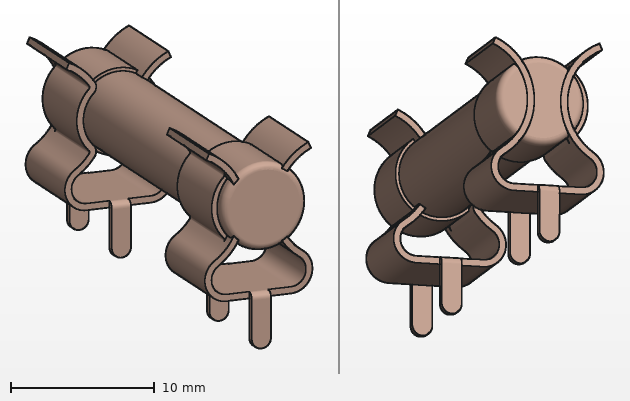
import cadquery as cq
import math

FUSE_LENGTH = 31.75
CAP_DIAMETER = 6.35
CAP_LENGTH = 5.85
CAP_FILLET = 0.5
TUBE_DIAMETER = 5.85

STRIP = 0.5
CLIP_LENGTH = 7.0
CLIP_HALF_WIDTH = 4.07
WAIST_HALF_GAP = 0.95
WAIST_RADIUS = 4.7
BEND_RADIUS = 1.65
LIP_TOP = 4.3
SEAT_RADIUS = 3.175
CREASE_RADIUS = 0.15
STOP_LENGTH = 0.9
CLIP_PITCH = 24.7
CLIP_SHIFT_X = -0.05
LEFT_CLIP_Y = -0.47
RIGHT_CLIP_Y = -0.41

LEG_WIDTH = 1.45
LEG_BOTTOM = -10.1

waist_center_y = WAIST_HALF_GAP + WAIST_RADIUS
waist_outer_radius = WAIST_RADIUS - STRIP
bend_center_y = CLIP_HALF_WIDTH - BEND_RADIUS
bend_inner_radius = BEND_RADIUS - STRIP
center_offset_y = waist_center_y - bend_center_y
bend_center_z = -math.sqrt((waist_outer_radius + BEND_RADIUS) ** 2 - center_offset_y**2)
base_bottom = bend_center_z - BEND_RADIUS
base_top = base_bottom + STRIP
tangent_angle = math.atan2(-bend_center_z, center_offset_y)
lip_angle = math.asin(LIP_TOP / WAIST_RADIUS)


def waist_point(radius, angle):
    """Point on a waist arc; the angle is measured upwards from the waist."""
    return (waist_center_y - radius * math.cos(angle), radius * math.sin(angle))


def bend_point(radius, angle):
    """Point on a base bend; the angle is measured upwards from its outermost point."""
    return (bend_center_y + radius * math.cos(angle), bend_center_z + radius * math.sin(angle))


def x_cylinder(radius, x_start, length, y=0.0):
    return cq.Workplane("YZ", origin=(x_start, y, 0)).circle(radius).extrude(length)


def make_fuse():
    cap_radius = CAP_DIAMETER / 2
    half = FUSE_LENGTH / 2
    left_cap = x_cylinder(cap_radius, -half, CAP_LENGTH).faces("<X").edges().fillet(CAP_FILLET)
    right_cap = left_cap.mirror("YZ")
    tube = x_cylinder(TUBE_DIAMETER / 2, -half + CAP_FILLET, FUSE_LENGTH - 2 * CAP_FILLET)
    return tube.union(left_cap).union(right_cap)


def make_strip_half(x_start, length):
    """Stretch of the clip strip on the +Y side: base, bend, waist and lip."""
    return (
        cq.Workplane("YZ", origin=(x_start, 0, 0))
        .moveTo(0, base_bottom)
        .lineTo(bend_center_y, base_bottom)
        .threePointArc(bend_point(BEND_RADIUS, 0), bend_point(BEND_RADIUS, tangent_angle))
        .threePointArc(waist_point(waist_outer_radius, 0), waist_point(waist_outer_radius, lip_angle))
        .lineTo(*waist_point(WAIST_RADIUS, lip_angle))
        .threePointArc(waist_point(WAIST_RADIUS, 0), waist_point(WAIST_RADIUS, -tangent_angle))
        .threePointArc(bend_point(bend_inner_radius, 0), (bend_center_y, base_top))
        .lineTo(0, base_top)
        .close()
        .extrude(length)
    )


def round_seat_corners(body, seat_radius, waist_radius, fillet_radius):
    """Round the two edges along X where a seat circle crosses a waist circle."""
    corner_y = (seat_radius**2 - waist_radius**2 + waist_center_y**2) / (2 * waist_center_y)
    corner_z = math.sqrt(seat_radius**2 - corner_y**2)
    middle_x = (STOP_LENGTH + CLIP_LENGTH) / 2
    for z in (corner_z, -corner_z):
        corner_edge = cq.selectors.NearestToPointSelector((middle_x, corner_y, z))
        body = body.edges("|X").edges(corner_edge).fillet(fillet_radius)
    return body


def make_seat_half():
    """Stretch of strip half whose waist bulges outwards around the fuse."""
    length = CLIP_LENGTH - STOP_LENGTH
    bore_radius = SEAT_RADIUS - STRIP
    bore = x_cylinder(bore_radius, STOP_LENGTH, length)
    waist_side = x_cylinder(WAIST_RADIUS, STOP_LENGTH, length, waist_center_y)
    seat = x_cylinder(SEAT_RADIUS, STOP_LENGTH, length).intersect(waist_side).cut(bore)
    body = make_strip_half(STOP_LENGTH, length).cut(bore).union(seat)
    body = round_seat_corners(body, SEAT_RADIUS, waist_outer_radius, CREASE_RADIUS)
    return round_seat_corners(body, bore_radius, WAIST_RADIUS, CREASE_RADIUS + STRIP)


def make_leg():
    """Leg bent down from the clip end at X = 0, with a rounded shoulder and tip."""
    tip_radius = LEG_WIDTH / 2
    tip_center_z = LEG_BOTTOM + tip_radius
    leg = (
        cq.Workplane("YZ")
        .moveTo(-tip_radius, base_top)
        .lineTo(-tip_radius, tip_center_z)
        .threePointArc((0, LEG_BOTTOM), (tip_radius, tip_center_z))
        .lineTo(tip_radius, base_top)
        .close()
        .extrude(-STRIP)
    )
    shoulder_block = cq.Workplane("XY").box(STRIP, LEG_WIDTH, STRIP, centered=(False, True, False))
    shoulder_block = shoulder_block.translate((-STRIP, 0, base_bottom))
    shoulder = (
        cq.Workplane("XZ", origin=(0, 0, base_bottom))
        .circle(STRIP)
        .extrude(LEG_WIDTH / 2, both=True)
    )
    return leg.cut(shoulder_block).union(shoulder_block.intersect(shoulder))


def make_clip():
    """Clip with its end stop at X = 0 and its seat towards +X."""
    half = make_strip_half(0, STOP_LENGTH).union(make_seat_half())
    clip = half.union(half.mirror("XZ"))
    leg = make_leg()
    inner_leg = leg.mirror("YZ").translate((CLIP_LENGTH, 0, 0))
    return clip.union(leg).union(inner_leg)


clip = make_clip()
clip_pair_half = (CLIP_PITCH + CLIP_LENGTH) / 2
left_clip = clip.translate((CLIP_SHIFT_X - clip_pair_half, LEFT_CLIP_Y, 0))
right_clip = clip.mirror("YZ").translate((CLIP_SHIFT_X + clip_pair_half, RIGHT_CLIP_Y, 0))
result = make_fuse().union(left_clip).union(right_clip)